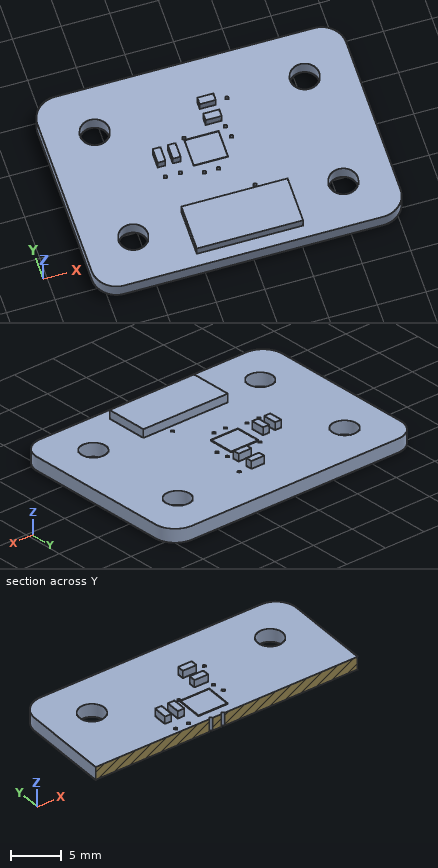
import cadquery as cq

board_length = 31.75
board_width = 22.85
board_thickness = 1.6
corner_radius = 2.55

mount_diameter = 3.0
mount_x = 10.8
mount_y = 6.35

total_height = 2.57
connector_length = 10.92
connector_width = 5.08
connector_height = total_height - board_thickness
connector_center = (0.03, -7.52)

chip_length = 3.52
chip_width = 3.08
chip_height = 0.1
chip_center = (-0.92, 1.27)

component_length = 1.65
component_width = 0.8
component_height = 0.9
cap_length = 0.45
row_x = 0.67
row_y = 1.43
row_component_ys = (6.22, 4.3)
column_component_xs = (-5.7, -4.15)
placements = [(row_x, y, 0) for y in row_component_ys]
placements += [(x, row_y, 90) for x in column_component_xs]

via_diameter = 0.35
front_via_y = -0.65
chip_front_via_y = -1.27
via_centers = [(x, front_via_y) for x in column_component_xs]
via_centers += [(x, chip_front_via_y) for x in (-1.9, -0.45)]
via_centers += [(-2.65, 3.08), (1.65, 3.18), (1.87, 1.87), (2.75, 6.25), (2.4, -4.15)]


def block_on_board(length, width, height, center):
    """Plain block standing on the top face of the board."""
    return (
        cq.Workplane("XY", origin=(*center, board_thickness))
        .rect(length, width)
        .extrude(height)
    )


def make_board():
    plate = (
        cq.Workplane("XY")
        .rect(board_length, board_width)
        .extrude(board_thickness)
        .edges("|Z")
        .fillet(corner_radius)
    )
    mounting_holes = (
        cq.Workplane("XY")
        .rect(2 * mount_x, 2 * mount_y, forConstruction=True)
        .vertices()
        .circle(mount_diameter / 2)
        .extrude(board_thickness)
    )
    vias = (
        cq.Workplane("XY")
        .pushPoints(via_centers)
        .circle(via_diameter / 2)
        .extrude(board_thickness)
    )
    return plate.cut(mounting_holes).cut(vias)


def make_component(x, y, angle):
    """One solid with flush end caps; the seams between caps and middle stay as edges."""
    middle_length = component_length - 2 * cap_length
    cap_offset = (component_length - cap_length) / 2
    component = block_on_board(middle_length, component_width, component_height, (0, 0))
    for side in (-1, 1):
        cap = block_on_board(cap_length, component_width, component_height, (side * cap_offset, 0))
        component = component.union(cap, clean=False)
    return component.rotate((0, 0, 0), (0, 0, 1), angle).translate((x, y, 0))


board = make_board()
connector = block_on_board(connector_length, connector_width, connector_height, connector_center)
chip = block_on_board(chip_length, chip_width, chip_height, chip_center)
components = [make_component(x, y, angle) for x, y, angle in placements]

result = cq.Compound.makeCompound(
    [board.val(), connector.val(), chip.val()]
    + [solid for component in components for solid in component.solids().vals()]
)